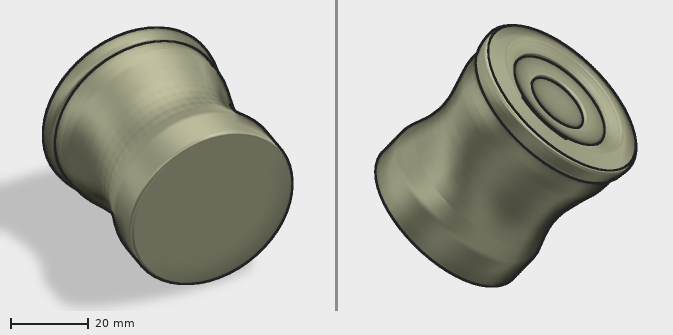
import cadquery as cq
import math

LENGTH = 50.0
ROUND_MIDDLE = 1 - math.sqrt(0.5)
CAP_RADIUS = 25.05
CAP_BACK = 6.75
SEAT_RADIUS = 15.0

FRONT_RADIUS = 47.7 / 2
REAR_RADIUS = 47.0 / 2
FRONT_BLEND_START = 10.45
FRONT_BLEND_END = 13.5
WAIST_START = 20.65
WAIST_END = 34.95
REAR_BLEND_START = 39.2
REAR_BLEND_END = 40.65
FRONT_SLOPE = math.radians(14.8)
REAR_SLOPE = math.radians(18.2)
REAR_ROUND_LENGTH = 1.25
REAR_ROUND_DEPTH = 0.9

FACE_X = 2.4
FACE_RADIUS = 14.05
FACE_EDGE_DROP = 0.15
RECESS_RADIUS = 8.5
RECESS_LIP = 0.95

LIP_START_X = 1.55
LIP_START_RADIUS = 15.7
LIP_ROUND = LIP_START_RADIUS - SEAT_RADIUS
LIP_BULGE = 0.15
FUNNEL_MIDDLE = (1.05, 16.7)
FUNNEL_TOP = (0.5, 17.95)
NOSE_ROUND_END = (0.35, 18.4)
NOSE_ROUND_START = (0.15, 18.75)
NOSE_INNER_RADIUS = 19.3
NOSE_OUTER_RADIUS = 19.65

CONE_END = (1.25, 24.25)
RIM_ROUND_START = (1.55, 24.65)
RIM_ROUND_MIDDLE = (1.9, 24.95)
RIM_ROUND_END = (2.5, CAP_RADIUS)
CROWN_START = (3.7, 25.0)
CROWN_MIDDLE = (5.15, 24.8)
CROWN_LOWER = (5.55, 24.7)
CROWN_END = (5.95, 24.55)
BACK_ROUND_MIDDLE = (6.3, 24.4)
BACK_ROUND_END = (6.55, 24.15)


def arc_middle(start, end, start_angle, end_angle):
    """Middle point of the arc that turns from start_angle to end_angle."""
    chord = math.hypot(end[0] - start[0], end[1] - start[1])
    turn = end_angle - start_angle
    sagitta = chord / 2 * math.tan(turn / 4)
    chord_angle = math.atan2(end[1] - start[1], end[0] - start[0])
    return (
        (start[0] + end[0]) / 2 + sagitta * math.sin(chord_angle),
        (start[1] + end[1]) / 2 - sagitta * math.cos(chord_angle),
    )


def blend_drop(length, slope):
    """Radius change of an arc that turns from level to the given slope."""
    return length * math.tan(slope / 2)


def turn_about_x(profile):
    full_turn = 360
    return profile.close().revolve(full_turn, (0, 0, 0), (1, 0, 0))


def make_barrel():
    front_start = (FRONT_BLEND_START, FRONT_RADIUS)
    front_end = (
        FRONT_BLEND_END,
        FRONT_RADIUS - blend_drop(FRONT_BLEND_END - FRONT_BLEND_START, FRONT_SLOPE),
    )
    waist_start = (
        WAIST_START,
        front_end[1] - (WAIST_START - FRONT_BLEND_END) * math.tan(FRONT_SLOPE),
    )
    rear_start = (
        REAR_BLEND_START,
        REAR_RADIUS - blend_drop(REAR_BLEND_END - REAR_BLEND_START, REAR_SLOPE),
    )
    rear_end = (REAR_BLEND_END, REAR_RADIUS)
    waist_end = (
        WAIST_END,
        rear_start[1] - (REAR_BLEND_START - WAIST_END) * math.tan(REAR_SLOPE),
    )
    round_start = (LENGTH - REAR_ROUND_LENGTH, REAR_RADIUS)
    round_end = (LENGTH, REAR_RADIUS - REAR_ROUND_DEPTH)
    round_middle = (
        LENGTH - REAR_ROUND_LENGTH * ROUND_MIDDLE,
        REAR_RADIUS - REAR_ROUND_DEPTH * ROUND_MIDDLE,
    )
    lip_middle = (
        FACE_X + RECESS_LIP * ROUND_MIDDLE,
        RECESS_RADIUS + RECESS_LIP * ROUND_MIDDLE,
    )
    recess_floor = FACE_X + RECESS_LIP

    profile = (
        cq.Workplane("XY")
        .moveTo(recess_floor, 0)
        .lineTo(recess_floor, RECESS_RADIUS)
        .threePointArc(lip_middle, (FACE_X, RECESS_RADIUS + RECESS_LIP))
        .lineTo(FACE_X, FACE_RADIUS)
        .lineTo(FACE_X + FACE_EDGE_DROP, SEAT_RADIUS)
        .lineTo(CAP_BACK, SEAT_RADIUS)
        .lineTo(CAP_BACK, FRONT_RADIUS)
        .lineTo(*front_start)
        .threePointArc(arc_middle(front_start, front_end, 0, -FRONT_SLOPE), front_end)
        .lineTo(*waist_start)
        .threePointArc(arc_middle(waist_start, waist_end, -FRONT_SLOPE, REAR_SLOPE), waist_end)
        .lineTo(*rear_start)
        .threePointArc(arc_middle(rear_start, rear_end, REAR_SLOPE, 0), rear_end)
        .lineTo(*round_start)
        .threePointArc(round_middle, round_end)
        .lineTo(LENGTH, 0)
    )
    return turn_about_x(profile)


def make_cap():
    lip_end = (LIP_START_X + LIP_ROUND, SEAT_RADIUS)
    lip_middle = (LIP_START_X + LIP_ROUND / 2, SEAT_RADIUS + LIP_BULGE)
    profile = (
        cq.Workplane("XY")
        .moveTo(CAP_BACK, SEAT_RADIUS)
        .lineTo(*lip_end)
        .threePointArc(lip_middle, (LIP_START_X, LIP_START_RADIUS))
        .lineTo(*FUNNEL_MIDDLE)
        .lineTo(*FUNNEL_TOP)
        .lineTo(*NOSE_ROUND_END)
        .lineTo(*NOSE_ROUND_START)
        .lineTo(0, NOSE_INNER_RADIUS)
        .lineTo(0, NOSE_OUTER_RADIUS)
        .lineTo(*CONE_END)
        .lineTo(*RIM_ROUND_START)
        .threePointArc(RIM_ROUND_MIDDLE, RIM_ROUND_END)
        .lineTo(*CROWN_START)
        .lineTo(*CROWN_MIDDLE)
        .lineTo(*CROWN_LOWER)
        .lineTo(*CROWN_END)
        .threePointArc(BACK_ROUND_MIDDLE, BACK_ROUND_END)
        .lineTo(CAP_BACK, FRONT_RADIUS)
    )
    return turn_about_x(profile)


barrel = make_barrel()
cap = make_cap()
result = cq.Compound.makeCompound([barrel.val(), cap.val()])